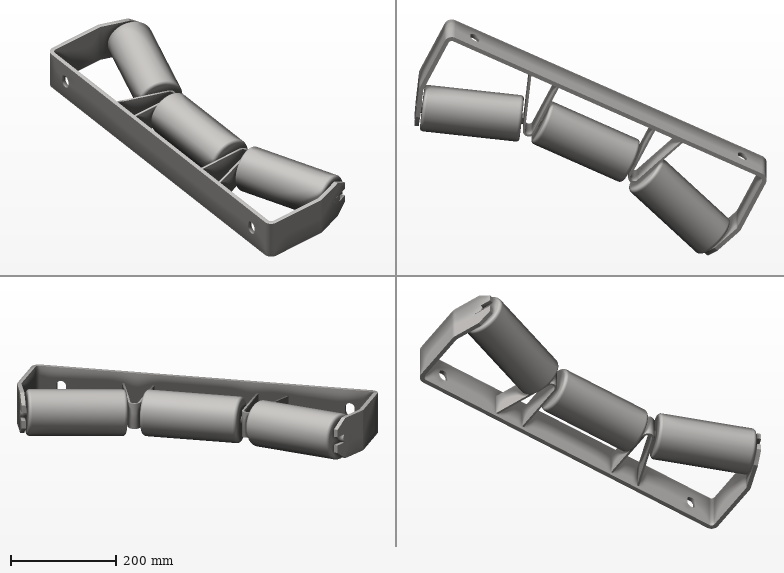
import cadquery as cq
import math

FRAME_LENGTH = 680.0
BAR_HEIGHT = 80.0
BAR_THICKNESS = 8.0
BEND_RADIUS = 11.0
SPLAY_ANGLE = 20.0
FLANGE_BEND_Y = 125.0
FLANGE_LENGTH = 86.0
FLANGE_CHAMFER_ALONG = 26.5
FLANGE_CHAMFER_HEIGHT = 17.0
MOUNT_HOLE_SPACING = 567.0
MOUNT_HOLE_WIDTH = 19.0
MOUNT_HOLE_HEIGHT = 26.5

BRACKET_THICKNESS = 4.0
BRACKET_HEIGHT = 50.0
BRACKET_BEND_RADIUS = 9.5
BRACKET_LEG_X = 102.0
BRACKET_BEND_Y = 117.5

ROLLER_DIAMETER = 89.0
ROLLER_LENGTH = 190.5
ROLLER_FILLET = 6.0
SHAFT_DIAMETER = 20.0
SHAFT_FLATS = 16.0
MIDDLE_ROLLER_Y = 100.5
MIDDLE_ROLLER_Z = -7.0
OUTER_ROLLER_X = 219.5
OUTER_ROLLER_Y = 143.5
OUTER_ROLLER_Z = -3.5
OUTER_ROLLER_TILT = 1.9
MIDDLE_STUB_REACH = BRACKET_LEG_X + BRACKET_THICKNESS / 2
INNER_STUB_REACH = 103.0
OUTER_STUB_REACH = 107.5
HOLE_OVERRUN = 2.0

SIN_SPLAY = math.sin(math.radians(SPLAY_ANGLE))
COS_SPLAY = math.cos(math.radians(SPLAY_ANGLE))


def sweep_strip(path, section_plane, thickness, height):
    """Sweep an upright strip section along a flat path."""
    return section_plane.rect(thickness, height).sweep(cq.Workplane(path))


def place_outer(body):
    """Move a body built along X to the left outer roller position."""
    return (
        body.rotate((0, 0, 0), (0, 1, 0), OUTER_ROLLER_TILT)
        .rotate((0, 0, 0), (0, 0, 1), -SPLAY_ANGLE)
        .translate((-OUTER_ROLLER_X, OUTER_ROLLER_Y, OUTER_ROLLER_Z))
    )


def place_middle(body):
    """Move a body built along X to the middle roller position."""
    return body.translate((0, MIDDLE_ROLLER_Y, MIDDLE_ROLLER_Z))


def place_side(left_body, side):
    """Keep a left-hand body for side -1 or mirror it for side +1."""
    return left_body if side < 0 else left_body.mirror("YZ")


def make_shaft(left_reach, right_reach):
    """Round shaft along X with a flat on its top and bottom."""
    length = left_reach + right_reach
    flats = cq.Workplane("XY").box(length, SHAFT_DIAMETER, SHAFT_FLATS)
    shaft = cq.Workplane("YZ").circle(SHAFT_DIAMETER / 2).extrude(length / 2, both=True)
    return shaft.intersect(flats).translate(((right_reach - left_reach) / 2, 0, 0))


def make_roller(left_reach, right_reach):
    """Rounded drum along X with a shaft stub at each end."""
    drum = (
        cq.Workplane("YZ")
        .circle(ROLLER_DIAMETER / 2)
        .extrude(ROLLER_LENGTH)
        .edges("%CIRCLE")
        .fillet(ROLLER_FILLET)
        .translate((-ROLLER_LENGTH / 2, 0, 0))
    )
    return drum.union(make_shaft(left_reach, right_reach))


def make_flange_slot():
    """Shaft-shaped slot for the left outer stub, open toward +Y."""
    cutter_reach = OUTER_STUB_REACH + HOLE_OVERRUN
    shaft = make_shaft(cutter_reach, 0)
    opening = (
        cq.Workplane("XY")
        .box(cutter_reach, FLANGE_LENGTH, SHAFT_FLATS, centered=(False, False, True))
        .translate((-cutter_reach, 0, 0))
    )
    return place_outer(shaft.union(opening))


def make_half_frame():
    """Left half of the frame."""
    side_x = -(FRAME_LENGTH - BAR_THICKNESS) / 2
    back_y = BAR_THICKNESS / 2
    tip = (side_x + FLANGE_LENGTH * SIN_SPLAY, FLANGE_BEND_Y + FLANGE_LENGTH * COS_SPLAY)
    corners = [(0, back_y), (side_x, back_y), (side_x, FLANGE_BEND_Y), tip]
    sharp_path = cq.Wire.makePolygon([cq.Vector(x, y, 0) for x, y in corners])
    bend_vertices = cq.Workplane(sharp_path).vertices("<X").vals()
    path = sharp_path.fillet2D(BEND_RADIUS, bend_vertices)
    bar = sweep_strip(path, cq.Workplane("YZ", origin=(0, back_y, 0)), BAR_THICKNESS, BAR_HEIGHT)

    tip_plane = cq.Plane(
        origin=(*tip, 0),
        xDir=(SIN_SPLAY, COS_SPLAY, 0),
        normal=(COS_SPLAY, -SIN_SPLAY, 0),
    )
    for edge in (-1, 1):
        corner_z = edge * BAR_HEIGHT / 2
        chamfer = (
            cq.Workplane(tip_plane)
            .polyline([
                (0, corner_z),
                (-FLANGE_CHAMFER_ALONG, corner_z),
                (0, corner_z - edge * FLANGE_CHAMFER_HEIGHT),
            ])
            .close()
            .extrude(BAR_THICKNESS, both=True)
        )
        bar = bar.cut(chamfer)
    return bar.cut(make_flange_slot())


def make_frame():
    """Whole frame with its two upright mounting slots."""
    half = make_half_frame()
    mount_holes = (
        cq.Workplane("XZ")
        .rarray(MOUNT_HOLE_SPACING, 7, 2, 1)
        .slot2D(MOUNT_HOLE_HEIGHT, MOUNT_HOLE_WIDTH, 90)
        .extrude(-BAR_THICKNESS)
    )
    return half.union(half.mirror("YZ")).cut(mount_holes)


def make_bracket():
    """Left bracket: a straight leg, a top bend and a leg leaning with the outer roller."""
    bend_x = -BRACKET_LEG_X - BRACKET_BEND_RADIUS
    mid_bend_angle = math.radians((180 - SPLAY_ANGLE) / 2)
    bend_start = (-BRACKET_LEG_X, BRACKET_BEND_Y)
    bend_top = (
        bend_x + BRACKET_BEND_RADIUS * math.cos(mid_bend_angle),
        BRACKET_BEND_Y + BRACKET_BEND_RADIUS * math.sin(mid_bend_angle),
    )
    bend_end = (
        bend_x - BRACKET_BEND_RADIUS * COS_SPLAY,
        BRACKET_BEND_Y + BRACKET_BEND_RADIUS * SIN_SPLAY,
    )
    foot = (bend_end[0] - bend_end[1] * SIN_SPLAY / COS_SPLAY, 0)
    path = cq.Workplane("XY").moveTo(-BRACKET_LEG_X, 0).lineTo(*bend_start)
    path = path.threePointArc(bend_top, bend_end).lineTo(*foot).wire().val()
    section_plane = cq.Workplane("XZ", origin=(-BRACKET_LEG_X, 0, MIDDLE_ROLLER_Z))
    strip = sweep_strip(path, section_plane, BRACKET_THICKNESS, BRACKET_HEIGHT)
    back_plate = cq.Workplane("XY").box(FRAME_LENGTH, 2 * BAR_THICKNESS, BAR_HEIGHT)
    bracket = strip.cut(back_plate)
    middle_hole = place_middle(make_shaft(MIDDLE_STUB_REACH + HOLE_OVERRUN, 0))
    leaning_hole = place_outer(make_shaft(0, INNER_STUB_REACH + HOLE_OVERRUN))
    return bracket.cut(middle_hole).cut(leaning_hole)


frame = make_frame()
middle_roller = place_middle(make_roller(MIDDLE_STUB_REACH, MIDDLE_STUB_REACH))
bodies = [frame, middle_roller]
for side in (-1, 1):
    outer_roller = place_side(place_outer(make_roller(OUTER_STUB_REACH, INNER_STUB_REACH)), side)
    bracket = place_side(make_bracket(), side)
    bodies += [outer_roller, bracket]

result = cq.Compound.makeCompound([body.val() for body in bodies])